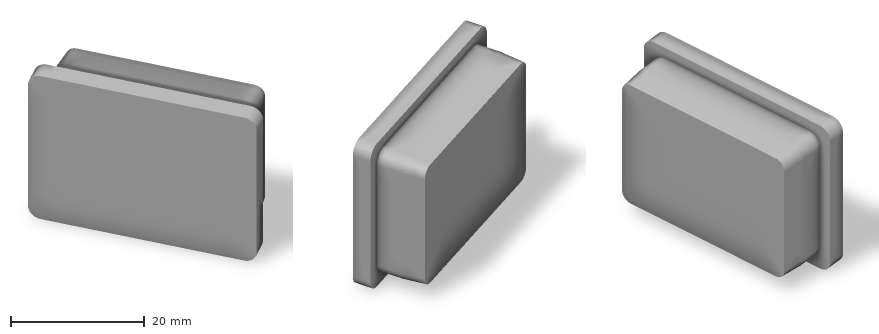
import cadquery as cq

plate_width = 36.0
plate_height = 27.0
plate_thickness = 3.0
corner_radius = 2.0

shoulder = 2.0
plug_width = plate_width - 2 * shoulder
plug_height = plate_height - 2 * shoulder
straight_length = 4.0
lead_in_length = 4.0
lead_in_angle = 5.0


def rounded_block(width, height, start_y, length, taper=0.0):
    """Rounded rectangle centred on the Y axis, extruded toward +Y and narrowing by the taper angle."""
    profile = cq.Sketch().rect(width, height).vertices().fillet(corner_radius)
    start_plane = cq.Plane(origin=(0, start_y, 0), xDir=(-1, 0, 0), normal=(0, 1, 0))
    return cq.Workplane(start_plane).placeSketch(profile).extrude(length, taper=taper)


straight_start = plate_thickness
lead_in_start = straight_start + straight_length

plate = rounded_block(plate_width, plate_height, 0, plate_thickness)
straight_plug = rounded_block(plug_width, plug_height, straight_start, straight_length)
lead_in = rounded_block(plug_width, plug_height, lead_in_start, lead_in_length, lead_in_angle)

result = plate.union(straight_plug).union(lead_in)